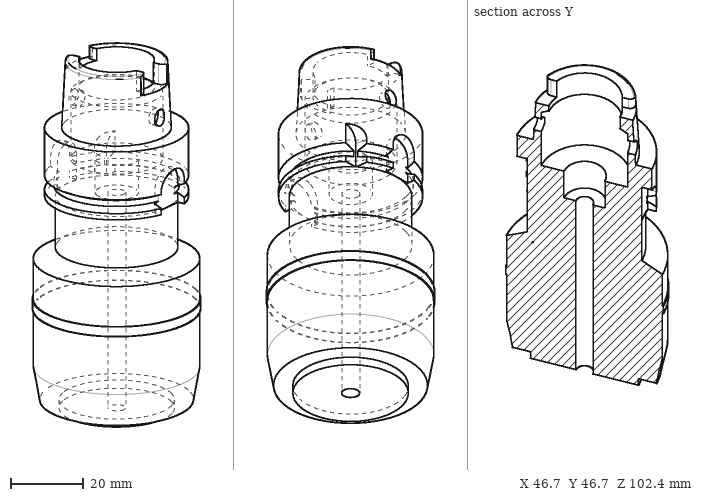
import cadquery as cq
import math


shank_length = 20.0
gauge_diameter = 30.0
gauge_height = 4.0
taper_ratio = 10.0
rim_fillet = 0.7

mouth_diameter = 21.0
mouth_depth = 8.0
undercut_diameter = 25.5
shoulder_slope_deg = 30.0
hollow_floor_z = -9.0
thread_diameter = 12.0
thread_depth = 10.0
coolant_diameter = 5.0
cross_hole_diameter = 4.6
cross_hole_z = 6.0

notch_width = 8.05
notch_depth_minus_x = 3.5
notch_depth_plus_x = 6.0
notch_corner_radius = 1.5

flange_diameter = 40.0
flange_height = 20.0
groove_z = -16.1
groove_floor_diameter = 34.8
groove_floor_width = 1.75
groove_mouth_width = 4.1

slot_top_z = -8.0
slot_floor_distance = 17.0
slot_width_minus_x = 9.0
slot_width_plus_x = 11.0
corner_notch_floor_distance = 12.1
corner_notch_wall_y = 11.8
corner_notch_radius = 4.5

neck_diameter = 34.0
neck_end_z = -35.2
body_diameter = 46.2
shoulder_end_z = -38.5
ring_diameter = 46.7
ring_top_z = -50.3
ring_bottom_z = -53.2
nose_taper_start_z = -70.2
body_end_z = -80.0
nose_taper_end_diameter = 42.7
tip_diameter = 32.0
tip_end_z = -82.4


def shank_radius(z):
    return (gauge_diameter - (z - gauge_height) / taper_ratio) / 2


def revolve_profile(points):
    return cq.Workplane("YZ").polyline(points).close().revolve(360, (0, 0, 0), (0, 1, 0))


def cylinder(diameter, bottom_z, top_z):
    return cq.Workplane("XY").workplane(offset=bottom_z).circle(diameter / 2).extrude(top_z - bottom_z)


def make_shank():
    """Solid taper shank with a rounded rim."""
    rim_radius = shank_radius(shank_length - rim_fillet)
    arc_offset = rim_fillet * math.sqrt(0.5)
    profile = (
        cq.Workplane("YZ")
        .moveTo(0, 0)
        .lineTo(shank_radius(0), 0)
        .lineTo(rim_radius, shank_length - rim_fillet)
        .threePointArc(
            (rim_radius - rim_fillet + arc_offset, shank_length - rim_fillet + arc_offset),
            (rim_radius - rim_fillet, shank_length),
        )
        .lineTo(0, shank_length)
        .close()
    )
    return profile.revolve(360, (0, 0, 0), (0, 1, 0))


def make_hollow():
    """Space inside the shank: a narrow mouth above a wider undercut with a conical shoulder."""
    mouth_radius = mouth_diameter / 2
    undercut_radius = undercut_diameter / 2
    shoulder_z = shank_length - mouth_depth
    shoulder_drop = (undercut_radius - mouth_radius) * math.tan(math.radians(shoulder_slope_deg))
    return revolve_profile([
        (0, hollow_floor_z),
        (undercut_radius, hollow_floor_z),
        (undercut_radius, shoulder_z - shoulder_drop),
        (mouth_radius, shoulder_z),
        (mouth_radius, shank_length),
        (0, shank_length),
    ])


def drive_notch(side, depth):
    """Notch from the axis out through the rim, flared by a round at each outer corner."""
    half_width = notch_width / 2
    corner_radius = notch_corner_radius
    rim_radius = shank_radius(shank_length)
    center_y = half_width + corner_radius
    center_distance = rim_radius - corner_radius
    center_x = math.sqrt(center_distance ** 2 - center_y ** 2)
    rim_angle = math.atan2(center_y, center_x)
    middle_angle = (rim_angle - math.pi / 2) / 2
    middle_x = center_x + corner_radius * math.cos(middle_angle)
    middle_y = center_y + corner_radius * math.sin(middle_angle)
    end_x = rim_radius * math.cos(rim_angle)
    end_y = rim_radius * math.sin(rim_angle)
    outer_x = gauge_diameter
    outer_y = end_y + (outer_x - end_x) * math.tan(rim_angle)
    return (
        cq.Workplane("XY")
        .workplane(offset=shank_length - depth)
        .moveTo(0, -half_width)
        .lineTo(side * center_x, -half_width)
        .threePointArc((side * middle_x, -middle_y), (side * end_x, -end_y))
        .lineTo(side * outer_x, -outer_y)
        .lineTo(side * outer_x, outer_y)
        .lineTo(side * end_x, end_y)
        .threePointArc((side * middle_x, middle_y), (side * center_x, half_width))
        .lineTo(0, half_width)
        .close()
        .extrude(depth)
    )


def cut_drive_notches(shank):
    minus_x_notch = drive_notch(-1, notch_depth_minus_x)
    plus_x_notch = drive_notch(1, notch_depth_plus_x)
    return shank.cut(minus_x_notch).cut(plus_x_notch)


def make_body():
    flange_radius = flange_diameter / 2
    groove_floor_radius = groove_floor_diameter / 2
    neck_radius = neck_diameter / 2
    body_radius = body_diameter / 2
    ring_radius = ring_diameter / 2
    tip_radius = tip_diameter / 2
    return revolve_profile([
        (0, 0),
        (flange_radius, 0),
        (flange_radius, groove_z + groove_mouth_width / 2),
        (groove_floor_radius, groove_z + groove_floor_width / 2),
        (groove_floor_radius, groove_z - groove_floor_width / 2),
        (flange_radius, groove_z - groove_mouth_width / 2),
        (flange_radius, -flange_height),
        (neck_radius, -flange_height),
        (neck_radius, neck_end_z),
        (body_radius, shoulder_end_z),
        (body_radius, ring_top_z),
        (ring_radius, ring_top_z),
        (ring_radius, ring_bottom_z),
        (body_radius, ring_bottom_z),
        (body_radius, nose_taper_start_z),
        (nose_taper_end_diameter / 2, body_end_z),
        (tip_radius, body_end_z),
        (tip_radius, tip_end_z),
        (0, tip_end_z),
    ])


def round_top_slot(start_x, end_x, center_y, radius, top_z):
    """Slot along X, round at the top and open at the flange underside."""
    center_z = top_z - radius
    return (
        cq.Workplane("YZ")
        .workplane(offset=start_x)
        .moveTo(center_y - radius, -flange_height)
        .lineTo(center_y - radius, center_z)
        .threePointArc((center_y, top_z), (center_y + radius, center_z))
        .lineTo(center_y + radius, -flange_height)
        .close()
        .extrude(end_x - start_x)
    )


def cut_flange_slots(body):
    minus_x_slot = round_top_slot(
        -flange_diameter, -slot_floor_distance, 0, slot_width_minus_x / 2, slot_top_z
    )
    plus_x_slot = round_top_slot(
        slot_floor_distance, flange_diameter, 0, slot_width_plus_x / 2, slot_top_z
    )
    corner_notch = round_top_slot(
        -flange_diameter,
        -corner_notch_floor_distance,
        corner_notch_wall_y + corner_notch_radius,
        corner_notch_radius,
        slot_top_z,
    )
    return body.cut(minus_x_slot).cut(plus_x_slot).cut(corner_notch)


def cut_bores(part):
    thread_bottom_z = hollow_floor_z - thread_depth
    hollow = make_hollow()
    thread_bore = cylinder(thread_diameter, thread_bottom_z, hollow_floor_z)
    coolant_bore = cylinder(coolant_diameter, tip_end_z, hollow_floor_z)
    cross_hole = (
        cq.Workplane("YZ")
        .center(0, cross_hole_z)
        .circle(cross_hole_diameter / 2)
        .extrude(gauge_diameter, both=True)
    )
    return part.cut(hollow).cut(thread_bore).cut(coolant_bore).cut(cross_hole)


shank = cut_drive_notches(make_shank())
body = cut_flange_slots(make_body())
result = cut_bores(body.union(shank))